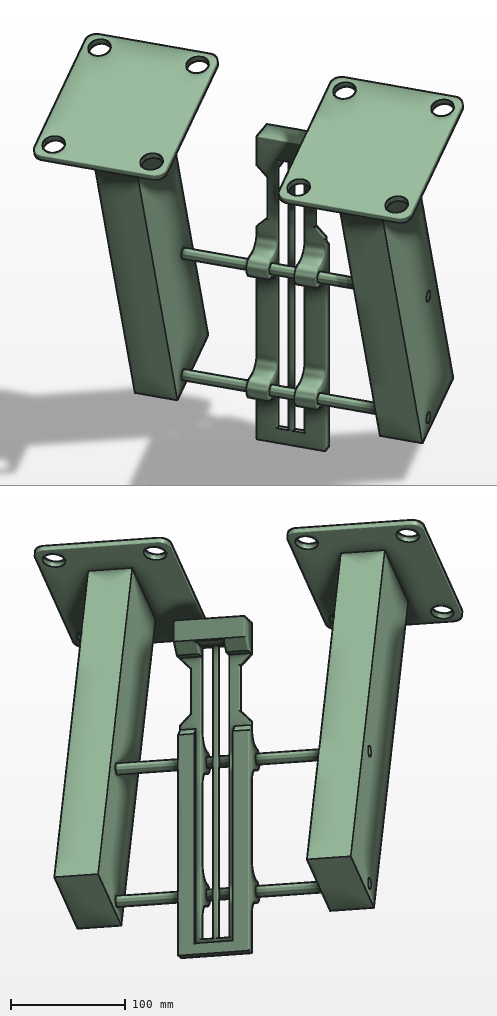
import cadquery as cq
ARM_WIDTH = 65.0
ARM_HEIGHT = 300.0
ARM_THICKNESS = 11.0
WEB_THICKNESS = 5.0
HEAD_DEPTH = 25.0
HEAD_HEIGHT = 29.0
HEAD_BEVEL = 10.0
RAMP_START = 94.0

NOTCH_DEPTH = 10.0
NOTCH_START = 29.0
NOTCH_END = 90.0

STRIP_WIDTH = 20.0
BAR_WIDTH = 5.0
WINDOW_TOP_MARGIN = 20.0
WINDOW_BOTTOM_MARGIN = 15.0
POCKET_SIDE_WALL = 15.0
POCKET_END_WALL = 10.0

CLIP_RADIUS = 10.0
CLIP_FILLET = 15.0
EDGE_ROUND = 1.2

ROD_DIAMETER = 10.0
ROD_SPACING = 120.0
LOWER_ROD_TO_ARM_BOTTOM = 60.0

TILT = 20.0
LEG_SPACING = 230.0
POST_WIDTH = 40.0
POST_DEPTH = 81.0
POST_LENGTH = 325.0
ROD_TO_POST_END = 12.25
ROD_TO_POST_FRONT = 20.0
PLATE_WIDTH = 124.0
PLATE_LENGTH = 152.0
PLATE_THICKNESS = 6.0
PLATE_CORNER_RADIUS = 10.0
PLATE_EDGE_ROUND = 1.0
HOLE_DIAMETER = 20.0
HOLE_SPACING_X = 92.0
HOLE_SPACING_Y = 120.0

PICK_MARGIN = 0.01

rod_heights = [0.0, ROD_SPACING]
rod_length = LEG_SPACING + POST_WIDTH
arm_side = ARM_WIDTH / 2
arm_front = CLIP_FILLET
arm_back = arm_front + ARM_THICKNESS
web_back = arm_front + WEB_THICKNESS
head_back = arm_front + HEAD_DEPTH
arm_bottom = -LOWER_ROD_TO_ARM_BOTTOM
arm_top = arm_bottom + ARM_HEIGHT
head_bottom = arm_top - HEAD_HEIGHT
ramp_top = arm_top - RAMP_START
ramp_bottom = ramp_top - (ARM_THICKNESS - WEB_THICKNESS)
notch_top = arm_top - NOTCH_START
notch_bottom = arm_top - NOTCH_END
window_side = arm_side - STRIP_WIDTH
window_top = arm_top - WINDOW_TOP_MARGIN
window_bottom = arm_bottom + WINDOW_BOTTOM_MARGIN


def block(half_width, front, back, bottom, top):
    """Box centred on X = 0 between the given Y and Z limits."""
    size = (2 * half_width, back - front, top - bottom)
    return cq.Workplane("XY").box(*size).translate((0, (front + back) / 2, (bottom + top) / 2))


def make_rod(height):
    rod = cq.Workplane("YZ").center(0, height).circle(ROD_DIAMETER / 2).extrude(rod_length)
    return rod.translate((-rod_length / 2, 0, 0))


def drill_for_rods(body):
    for height in rod_heights:
        body = body.cut(make_rod(height))
    return body


def strap():
    """Side profile of the arm, with a rounded clip around each rod, extruded across X."""
    outline = cq.Workplane("YZ").moveTo(arm_front, arm_bottom)
    for height in rod_heights:
        outline = (
            outline.lineTo(arm_front, height - CLIP_RADIUS - CLIP_FILLET)
            .radiusArc((0, height - CLIP_RADIUS), -CLIP_FILLET)
            .threePointArc((-CLIP_RADIUS, height), (0, height + CLIP_RADIUS))
            .radiusArc((arm_front, height + CLIP_RADIUS + CLIP_FILLET), -CLIP_FILLET)
        )
    outline = (
        outline.lineTo(arm_front, arm_top)
        .lineTo(head_back, arm_top)
        .lineTo(head_back, head_bottom + HEAD_BEVEL)
        .lineTo(head_back - HEAD_BEVEL, head_bottom)
        .lineTo(web_back, head_bottom)
        .lineTo(web_back, ramp_top)
        .lineTo(arm_back, ramp_bottom)
        .lineTo(arm_back, arm_bottom)
        .close()
    )
    return outline.extrude(ARM_WIDTH).translate((-arm_side, 0, 0))


def side_notch(side):
    outer = side * arm_side
    inner = side * (arm_side - NOTCH_DEPTH)
    corners = [
        (outer, notch_top),
        (inner, notch_top - NOTCH_DEPTH),
        (inner, notch_bottom + NOTCH_DEPTH),
        (outer, notch_bottom),
    ]
    return cq.Workplane("XZ", origin=(0, head_back, 0)).polyline(corners).close().extrude(HEAD_DEPTH)


def round_outline(arm):
    """Round the edges around the sides, the sloped notch faces and both ends."""
    sides = arm.faces("|X").edges("not |Y")
    slopes = arm.faces(cq.selectors.BoxSelector(
        (-arm_side, arm_front, notch_bottom + PICK_MARGIN),
        (arm_side, web_back, notch_top - PICK_MARGIN),
    ))
    slopes = slopes.faces("#Y").edges("not |Y")
    ends = arm.faces("<Z or >Z").edges("<Y or (|Y)")
    return sides.add(slopes).add(ends).fillet(EDGE_ROUND)


def round_window_walls(arm):
    walls = arm.faces(cq.selectors.BoxSelector(
        (-window_side - PICK_MARGIN, -head_back, arm_bottom),
        (window_side + PICK_MARGIN, head_back, arm_top),
    ))
    return walls.faces("|X").edges("not |Y").fillet(EDGE_ROUND)


def make_arm():
    arm = strap()
    for side in (-1, 1):
        arm = arm.cut(side_notch(side))
    arm = round_outline(arm)
    pocket_bottom = arm_bottom + POCKET_END_WALL
    pocket = block(arm_side - POCKET_SIDE_WALL, web_back, head_back, pocket_bottom, head_bottom)
    window = block(window_side, -head_back, head_back, window_bottom, window_top)
    arm = arm.cut(pocket).cut(window)
    arm = round_window_walls(arm)
    bar = block(BAR_WIDTH / 2, arm_front, web_back, window_bottom, window_top)
    arm = arm.union(bar.edges("|Z").fillet(EDGE_ROUND))
    return drill_for_rods(arm)


def make_leg(x):
    post = cq.Workplane("XY").box(POST_WIDTH, POST_DEPTH, POST_LENGTH, centered=(True, True, False))
    plate = (
        cq.Workplane("XY", origin=(0, 0, POST_LENGTH))
        .rect(PLATE_WIDTH, PLATE_LENGTH).extrude(PLATE_THICKNESS)
        .edges("|Z").fillet(PLATE_CORNER_RADIUS)
        .faces("<Z or >Z").edges().fillet(PLATE_EDGE_ROUND)
        .faces(">Z").workplane()
        .rect(HOLE_SPACING_X, HOLE_SPACING_Y, forConstruction=True)
        .vertices().hole(HOLE_DIAMETER)
    )
    leg = post.union(plate)
    leg = leg.translate((x, POST_DEPTH / 2 - ROD_TO_POST_FRONT, -ROD_TO_POST_END))
    leg = leg.rotate((0, 0, 0), (1, 0, 0), TILT)
    return drill_for_rods(leg)


legs = [make_leg(side * LEG_SPACING / 2) for side in (-1, 1)]
rods = [make_rod(height) for height in rod_heights]
arm = make_arm()
result = cq.Compound.makeCompound([body.val() for body in [*legs, *rods, arm]])